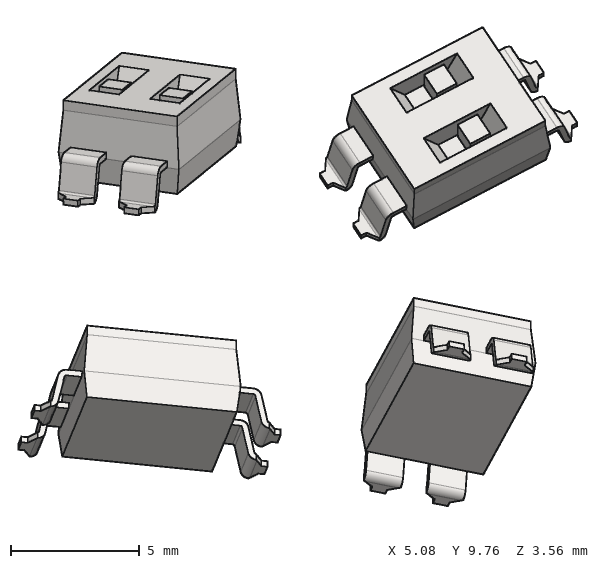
import cadquery as cq
import math

total_length = 9.76
total_height = 3.56

parting_width, parting_length = 5.08, 6.21
cap_width, cap_length = 4.79, 5.91
base_width, base_length = 4.82, 5.94
base_z = 0.36
parting_z = 1.45
cap_z = 3.16

pitch = 2.56
switch_xs = (-pitch / 2, pitch / 2)

mouth_width, mouth_length = 1.25, 3.02
floor_width, floor_length = 1.08, 1.8
slot_depth = 1.0
slot_floor_z = total_height - slot_depth

knob_width, knob_length = 0.98, 0.9
knob_center_y = -0.39
knob_drop = 0.05

lead_width = 1.51
lead_thickness = 0.25
lead_angle = 12.0
inner_radius = 0.1
top_bend_y = 3.69
lead_root_y = 2.73
tip_width = 0.61
tip_length = 0.24
taper_length = 0.3


def tapered_block(lower_size, lower_z, upper_size, upper_z):
    """Rectangular frustum between two levels."""
    return (
        cq.Workplane("XY", origin=(0, 0, lower_z))
        .rect(*lower_size)
        .workplane(offset=upper_z - lower_z)
        .rect(*upper_size)
        .loft(ruled=True)
    )


def make_housing():
    lower = tapered_block((base_width, base_length), base_z, (parting_width, parting_length), parting_z)
    upper = tapered_block((parting_width, parting_length), parting_z, (cap_width, cap_length), cap_z)
    cap = tapered_block((cap_width, cap_length), cap_z, (cap_width, cap_length), total_height)
    return lower.union(upper).union(cap)


def make_slot(x):
    slot = tapered_block((floor_width, floor_length), slot_floor_z, (mouth_width, mouth_length), total_height)
    return slot.translate((x, 0, 0))


def make_knob(x):
    return (
        cq.Workplane("XY", origin=(x, knob_center_y, slot_floor_z))
        .rect(knob_width, knob_length)
        .extrude(slot_depth - knob_drop)
    )


def bend_point(center, radius, degrees):
    """Point on a bend arc, in (Y, Z)."""
    angle = math.radians(degrees)
    return (center[0] + radius * math.cos(angle), center[1] + radius * math.sin(angle))


def make_lead(x):
    """Lead on the +Y side: shoulder, leaning leg and a foot with a narrowed tip."""
    outer_radius = inner_radius + lead_thickness
    shoulder_top = parting_z + lead_thickness
    tip_y = total_length / 2
    lean = math.radians(lead_angle)

    top_center = (top_bend_y, parting_z - inner_radius)
    center_drop = top_center[1] - outer_radius
    center_gap = inner_radius + outer_radius
    foot_center_y = top_bend_y + center_drop * math.tan(lean) + center_gap / math.cos(lean)
    foot_center = (foot_center_y, outer_radius)

    half_turn = (90 + lead_angle) / 2
    leg_top = lead_angle
    leg_foot = 180 + lead_angle
    profile = (
        cq.Workplane("YZ", origin=(x - lead_width / 2, 0, 0))
        .moveTo(lead_root_y, shoulder_top)
        .lineTo(top_bend_y, shoulder_top)
        .threePointArc(bend_point(top_center, outer_radius, half_turn),
                       bend_point(top_center, outer_radius, leg_top))
        .lineTo(*bend_point(foot_center, inner_radius, leg_foot))
        .threePointArc(bend_point(foot_center, inner_radius, 180 + half_turn),
                       bend_point(foot_center, inner_radius, 270))
        .lineTo(tip_y, lead_thickness)
        .lineTo(tip_y, 0)
        .lineTo(foot_center_y, 0)
        .threePointArc(bend_point(foot_center, outer_radius, 180 + half_turn),
                       bend_point(foot_center, outer_radius, leg_foot))
        .lineTo(*bend_point(top_center, inner_radius, leg_top))
        .threePointArc(bend_point(top_center, inner_radius, half_turn),
                       bend_point(top_center, inner_radius, 90))
        .lineTo(lead_root_y, parting_z)
        .close()
        .extrude(lead_width)
    )

    tip_start_y = tip_y - tip_length
    taper_start_y = tip_start_y - taper_length
    outline = (
        cq.Workplane("XY", origin=(x, 0, 0))
        .polyline([
            (-lead_width / 2, lead_root_y),
            (lead_width / 2, lead_root_y),
            (lead_width / 2, taper_start_y),
            (tip_width / 2, tip_start_y),
            (tip_width / 2, tip_y),
            (-tip_width / 2, tip_y),
            (-tip_width / 2, tip_start_y),
            (-lead_width / 2, taper_start_y),
        ])
        .close()
        .extrude(shoulder_top)
    )
    return profile.intersect(outline)


result = make_housing()
for switch_x in switch_xs:
    lead = make_lead(switch_x)
    result = result.cut(make_slot(switch_x)).union(make_knob(switch_x))
    result = result.union(lead).union(lead.mirror("XZ"))